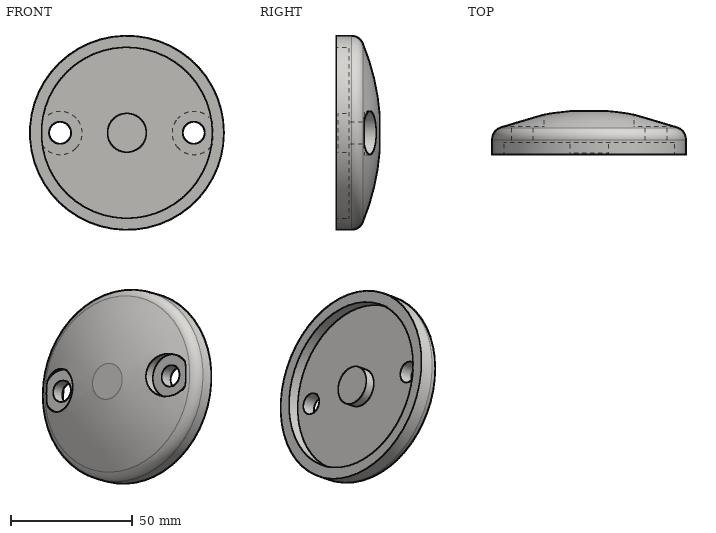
import cadquery as cq
import math

outer_radius = 40.0
total_height = 18.0
shoulder_radius = 5.2
dome_radius = 96.8
flat_radius = 7.5

recess_radius = 35.2
recess_depth = 5.2
boss_radius = 8.0
boss_height = 4.5

hole_radius = 4.5
hole_spacing = 55.0
counterbore_radius = 9.0
counterbore_floor = 11.6


def cylinder(radius, start, end, x=0.0):
    """Cylinder parallel to Y between two heights."""
    return cq.Workplane("XZ", origin=(x, start, 0)).circle(radius).extrude(start - end)


def domed_blank():
    """Solid of revolution: wall, rounded shoulder and spherical dome with a flat top."""
    shoulder_center_x = outer_radius - shoulder_radius
    dome_center_y = total_height - math.sqrt(dome_radius**2 - flat_radius**2)
    center_distance = dome_radius - shoulder_radius
    wall_height = dome_center_y + math.sqrt(center_distance**2 - shoulder_center_x**2)
    edge_angle = math.asin(shoulder_center_x / center_distance)
    flat_angle = math.asin(flat_radius / dome_radius)

    def arc_point(center_x, center_y, radius, angle):
        """Point on an arc, with the angle measured from +Y towards +X."""
        return center_x + radius * math.sin(angle), center_y + radius * math.cos(angle)

    shoulder_middle_angle = (math.pi / 2 + edge_angle) / 2
    shoulder_middle = arc_point(shoulder_center_x, wall_height, shoulder_radius, shoulder_middle_angle)
    dome_edge = arc_point(0, dome_center_y, dome_radius, edge_angle)
    dome_middle = arc_point(0, dome_center_y, dome_radius, (edge_angle + flat_angle) / 2)
    return (
        cq.Workplane("XY")
        .lineTo(outer_radius, 0)
        .lineTo(outer_radius, wall_height)
        .threePointArc(shoulder_middle, dome_edge)
        .threePointArc(dome_middle, (flat_radius, total_height))
        .lineTo(0, total_height)
        .close()
        .revolve(360, (0, 0, 0), (0, 1, 0))
    )


result = domed_blank()
result = result.cut(cylinder(recess_radius, 0, recess_depth))
result = result.union(cylinder(boss_radius, recess_depth - boss_height, recess_depth))

for side in (-1, 1):
    hole_x = side * hole_spacing / 2
    result = result.cut(cylinder(hole_radius, 0, total_height, hole_x))
    result = result.cut(cylinder(counterbore_radius, counterbore_floor, total_height, hole_x))